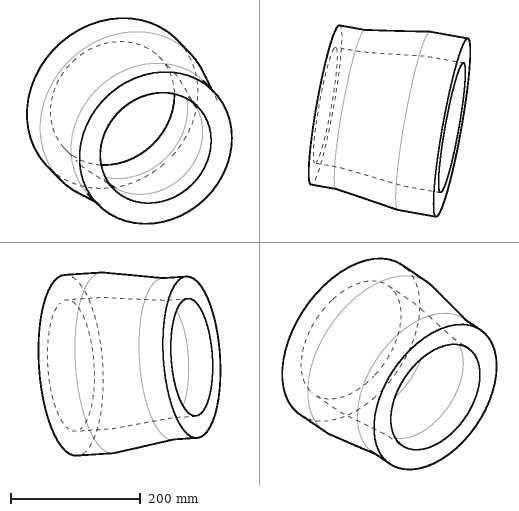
import cadquery as cq

large_outer_diameter = 280.0
large_bore_diameter = 203.4
small_outer_diameter = 250.0
small_bore_diameter = 181.6

large_spigot_length = 60.0
taper_length = 100.0
small_spigot_length = 40.0

taper_start = large_spigot_length
taper_end = taper_start + taper_length
total_length = taper_end + small_spigot_length


def stepped_taper(large_diameter, small_diameter):
    """Solid of two coaxial cylinders joined by a cone."""
    large_radius = large_diameter / 2
    small_radius = small_diameter / 2
    half_section = (
        cq.Workplane("XY")
        .moveTo(0, 0)
        .lineTo(0, large_radius)
        .lineTo(taper_start, large_radius)
        .lineTo(taper_end, small_radius)
        .lineTo(total_length, small_radius)
        .lineTo(total_length, 0)
        .close()
    )
    return half_section.revolve(360, (0, 0, 0), (1, 0, 0))


outer_body = stepped_taper(large_outer_diameter, small_outer_diameter)
bore = stepped_taper(large_bore_diameter, small_bore_diameter)

result = outer_body.cut(bore)